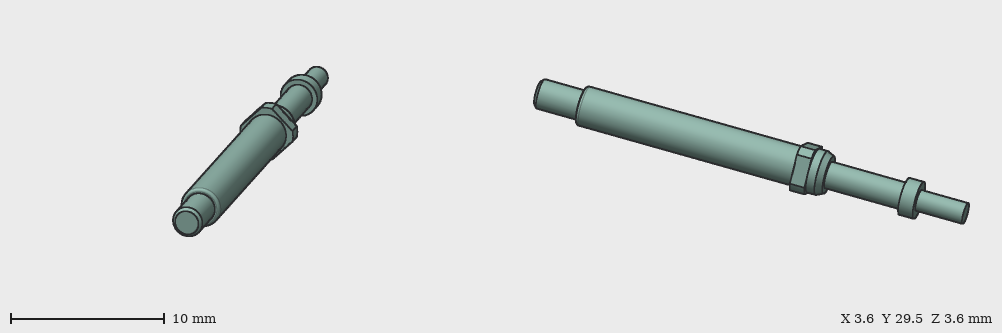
import cadquery as cq

total_length = 29.5

tip_diameter = 1.42
tip_length = 3.22
collar_diameter = 2.5
collar_length = 1.0
rod_diameter = 1.8

sleeve_diameter = 2.98
sleeve_length = 1.05
sleeve_lead_length = 0.47
sleeve_lead_end_diameter = 2.55
flange_corner_diameter = 3.6
flange_across_flats = 3.0
flange_length = 1.0
flange_start = 18.0
body_diameter = 2.65
body_edge_radius = 0.2

tail_diameter = 2.0
tail_length = 3.0
tail_chamfer = 0.2

flange_end = flange_start + flange_length
sleeve_end = flange_end + sleeve_length
collar_end = total_length - tip_length
collar_start = collar_end - collar_length


def cylinder(diameter, y_start, y_end):
    """Cylinder on the Y axis between two stations."""
    return (
        cq.Workplane("XZ", origin=(0, y_start, 0))
        .circle(diameter / 2)
        .extrude(y_start - y_end)
    )


def make_plunger():
    rod = cylinder(rod_diameter, sleeve_end, collar_start)
    collar = cylinder(collar_diameter, collar_start, collar_end)
    tip = cylinder(tip_diameter, collar_end, total_length)
    return rod.union(collar).union(tip)


def make_sleeve():
    """Revolved sleeve, tapering towards the plunger."""
    sleeve_outline = [
        (0, flange_end),
        (sleeve_diameter / 2, flange_end),
        (sleeve_diameter / 2, sleeve_end - sleeve_lead_length),
        (sleeve_lead_end_diameter / 2, sleeve_end),
        (0, sleeve_end),
    ]
    return cq.Workplane("XY").polyline(sleeve_outline).close().revolve(360, (0, 0, 0), (0, 1, 0))


def make_flange():
    """Square standing on its corner, with the corners turned to a round."""
    square = (
        cq.Workplane("XY")
        .box(flange_across_flats, flange_length, flange_across_flats)
        .rotate((0, 0, 0), (0, 1, 0), 45)
        .translate((0, flange_start + flange_length / 2, 0))
    )
    return square.intersect(cylinder(flange_corner_diameter, flange_start, flange_end))


def make_body():
    return cylinder(body_diameter, tail_length, flange_start).faces("<Y").edges().fillet(body_edge_radius)


def make_tail():
    return cylinder(tail_diameter, 0, tail_length).faces("<Y").chamfer(tail_chamfer)


result = (
    make_tail()
    .union(make_body())
    .union(make_flange())
    .union(make_sleeve())
    .union(make_plunger())
)